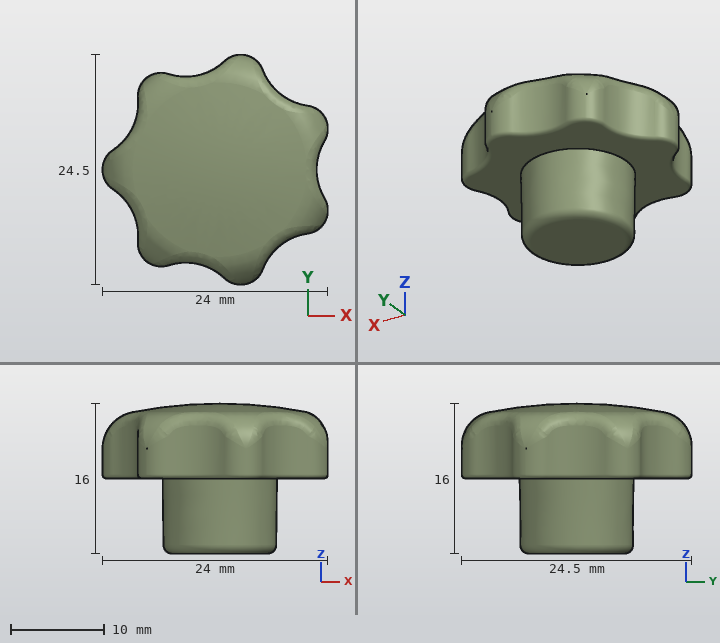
import cadquery as cq
import math

LOBES = 7
TOTAL_HEIGHT = 16.0
HEAD_BOTTOM = 8.0
WIDTH_Y = 24.5
LOBE_CENTER_RADIUS = 10.0
VALLEY_RADIUS = 10.3
DOME_RADIUS = 47.75
SHOULDER_ROUND = 4.0
VALLEY_EDGE_ROUND = 1.5
BOTTOM_EDGE_ROUND = 0.45
TIP_RELIEF = 0.0002
STEM_TOP_RADIUS = 6.1
STEM_BOTTOM_RADIUS = 6.0
STEM_ROUND = 0.95

HALF_PITCH = math.pi / LOBES
WIDEST_LOBE_ANGLE = 3 * HALF_PITCH
LOBE_ARC_RADIUS = WIDTH_Y / 2 - LOBE_CENTER_RADIUS * math.sin(WIDEST_LOBE_ANGLE)
TIP_RADIUS = LOBE_CENTER_RADIUS + LOBE_ARC_RADIUS
VALLEY_ARC_RADIUS = (
    LOBE_CENTER_RADIUS**2
    + VALLEY_RADIUS**2
    - LOBE_ARC_RADIUS**2
    - 2 * LOBE_CENTER_RADIUS * VALLEY_RADIUS * math.cos(HALF_PITCH)
) / (2 * (LOBE_ARC_RADIUS - VALLEY_RADIUS + LOBE_CENTER_RADIUS * math.cos(HALF_PITCH)))


def polar(radius, angle):
    return radius * math.cos(angle), radius * math.sin(angle)


def tangent_point():
    """Radius and angle, from the lobe axis, of the point where a lobe arc meets a valley arc."""
    valley_x, valley_y = polar(VALLEY_RADIUS + VALLEY_ARC_RADIUS, HALF_PITCH)
    share = LOBE_ARC_RADIUS / (LOBE_ARC_RADIUS + VALLEY_ARC_RADIUS)
    x = LOBE_CENTER_RADIUS + share * (valley_x - LOBE_CENTER_RADIUS)
    y = share * valley_y
    return math.hypot(x, y), math.atan2(y, x)


def star_prism():
    """Seven-lobed prism with one lobe pointing along -X."""
    join_radius, join_angle = tangent_point()
    outline = cq.Workplane("XY", origin=(0, 0, HEAD_BOTTOM))
    outline = outline.moveTo(*polar(join_radius, math.pi - join_angle))
    for lobe in range(LOBES):
        axis = math.pi + 2 * HALF_PITCH * lobe
        valley = axis + HALF_PITCH
        next_axis = axis + 2 * HALF_PITCH
        outline = outline.threePointArc(polar(TIP_RADIUS, axis), polar(join_radius, axis + join_angle))
        outline = outline.threePointArc(
            polar(VALLEY_RADIUS, valley), polar(join_radius, next_axis - join_angle)
        )
    return outline.close().extrude(TOTAL_HEIGHT - HEAD_BOTTOM)


CROWN_RADIUS = TIP_RADIUS - TIP_RELIEF
DOME_CENTER_Z = TOTAL_HEIGHT - DOME_RADIUS
SHOULDER_CENTER_X = CROWN_RADIUS - SHOULDER_ROUND
SHOULDER_ANGLE = math.acos(SHOULDER_CENTER_X / (DOME_RADIUS - SHOULDER_ROUND))
SHOULDER_CENTER_Z = DOME_CENTER_Z + (DOME_RADIUS - SHOULDER_ROUND) * math.sin(SHOULDER_ANGLE)


def crown():
    """Turned blank of the head: a low dome with a rounded shoulder."""

    def on_dome(angle):
        x, z = polar(DOME_RADIUS, angle)
        return x, DOME_CENTER_Z + z

    def on_shoulder(angle):
        x, z = polar(SHOULDER_ROUND, angle)
        return SHOULDER_CENTER_X + x, SHOULDER_CENTER_Z + z

    return (
        cq.Workplane("XZ")
        .moveTo(0, HEAD_BOTTOM)
        .lineTo(CROWN_RADIUS, HEAD_BOTTOM)
        .lineTo(*on_shoulder(0))
        .threePointArc(on_shoulder(SHOULDER_ANGLE / 2), on_shoulder(SHOULDER_ANGLE))
        .threePointArc(on_dome((SHOULDER_ANGLE + math.pi / 2) / 2), (0, TOTAL_HEIGHT))
        .close()
        .revolve(360, (0, 0, 0), (0, 1, 0))
    )


def is_upper_wall_edge(edge):
    """True for the free curves where the star wall meets the shoulder."""
    return edge.geomType() == "BSPLINE" and edge.Center().z > SHOULDER_CENTER_Z


def head():
    """Crowned star with rounded upper and lower wall edges."""
    sharp = crown().intersect(star_prism()).val()
    upper_edges = [edge for edge in sharp.Edges() if is_upper_wall_edge(edge)]
    rounded = sharp.fillet(VALLEY_EDGE_ROUND, upper_edges)
    return cq.Workplane(rounded).faces("<Z").edges().fillet(BOTTOM_EDGE_ROUND)


def stem():
    """Slightly tapered round stem under the head."""
    return (
        cq.Workplane("XZ")
        .lineTo(STEM_BOTTOM_RADIUS, 0)
        .lineTo(STEM_TOP_RADIUS, HEAD_BOTTOM)
        .lineTo(0, HEAD_BOTTOM)
        .close()
        .revolve(360, (0, 0, 0), (0, 1, 0))
        .faces("<Z")
        .edges()
        .fillet(STEM_ROUND)
    )


knob = head().union(stem())

result = cq.Compound.makeCompound([knob.val()])